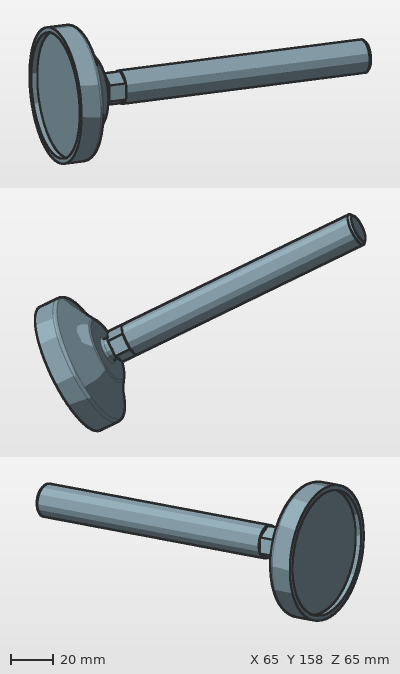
import cadquery as cq
import math

pad_diameter = 65.0
rim_height = 9.8
shoulder_height = 11.5
shoulder_radius = 31.6
pad_height = 20.5
crown_radius = 16.0
crown_rounding = 2.0
flank_sag = 0.8

recess_diameter = 60.0
recess_depth = 3.0

neck_diameter = 11.0
flare_radius = 1.3

hex_start = 24.8
hex_end = 33.0
stem_diameter = 16.0
hex_corner_diameter = stem_diameter
total_length = 158.0
tip_chamfer = 1.3


def plane_at(height):
    """Plane across the axis, with its normal along +Y."""
    return cq.Workplane(cq.Plane(origin=(0, height, 0), xDir=(1, 0, 0), normal=(0, 1, 0)))


def flank_middle():
    """Midpoint of the concave flank, pushed in from the straight chord."""
    run = shoulder_radius - crown_radius
    rise = pad_height - shoulder_height
    chord = math.hypot(run, rise)
    radius = (shoulder_radius + crown_radius) / 2 - flank_sag * rise / chord
    height = (shoulder_height + pad_height) / 2 - flank_sag * run / chord
    return radius, height


def make_pad_and_neck():
    """Revolved pad with a concave flank and rounded crown, and the flared neck above it."""
    pad_radius = pad_diameter / 2
    neck_radius = neck_diameter / 2
    arc_inset = flare_radius * (1 - math.sqrt(0.5))
    profile = (
        cq.Workplane("XY")
        .moveTo(0, recess_depth)
        .lineTo(recess_diameter / 2, recess_depth)
        .lineTo(recess_diameter / 2, 0)
        .lineTo(pad_radius, 0)
        .lineTo(pad_radius, rim_height)
        .tangentArcPoint((shoulder_radius, shoulder_height), relative=False)
        .threePointArc(flank_middle(), (crown_radius, pad_height))
        .lineTo(neck_radius + flare_radius, pad_height)
        .threePointArc(
            (neck_radius + arc_inset, pad_height + arc_inset),
            (neck_radius, pad_height + flare_radius),
        )
        .lineTo(neck_radius, hex_start)
        .lineTo(0, hex_start)
        .close()
    )
    body = profile.revolve(360, (0, 0, 0), (0, 1, 0))
    crown_edges = body.edges("%CIRCLE").filter(
        lambda edge: math.isclose(edge.radius(), crown_radius, abs_tol=0.0002)
    )
    return crown_edges.fillet(crown_rounding)


def make_hexagon():
    """Spanner hexagon with corners on the +Z and -Z sides."""
    return (
        plane_at(hex_start)
        .transformed(rotate=(0, 0, 90))
        .polygon(6, hex_corner_diameter)
        .extrude(hex_end - hex_start)
    )


def make_stem():
    """Long round stem with a chamfered free end."""
    stem = plane_at(hex_end).circle(stem_diameter / 2).extrude(total_length - hex_end)
    return stem.faces(">Y").chamfer(tip_chamfer)


result = make_pad_and_neck().union(make_hexagon()).union(make_stem())